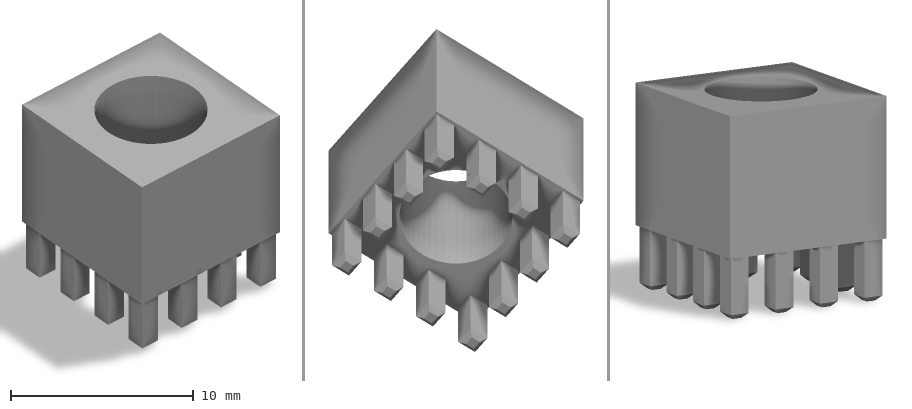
import cadquery as cq

total_height = 11.5
body_side = 10.0
body_height = 8.0
hole_diameter = 6.2

pins_per_side = 4
pin_pitch = 2.85
pin_side = 1.14
pin_length = total_height - body_height
tip_chamfer = 0.3


def make_body():
    """Block standing on Z = 0, bored through along Z."""
    return (
        cq.Workplane("XY")
        .box(body_side, body_side, body_height, centered=(True, True, False))
        .faces(">Z")
        .workplane()
        .hole(hole_diameter)
    )


def pin_centers():
    """Outermost places of a square grid, leaving the area below the hole clear."""
    last = pins_per_side - 1
    middle = last / 2
    return [
        ((column - middle) * pin_pitch, (row - middle) * pin_pitch)
        for column in range(pins_per_side)
        for row in range(pins_per_side)
        if column in (0, last) or row in (0, last)
    ]


def make_pin():
    """Square pin hanging down from Z = 0, chamfered at 45 degrees to a smaller flat tip."""
    return (
        cq.Workplane("XY")
        .rect(pin_side, pin_side)
        .extrude(-pin_length)
        .faces("<Z")
        .chamfer(tip_chamfer)
    )


result = make_body()
pin = make_pin()
for x, y in pin_centers():
    result = result.union(pin.translate((x, y, 0)))